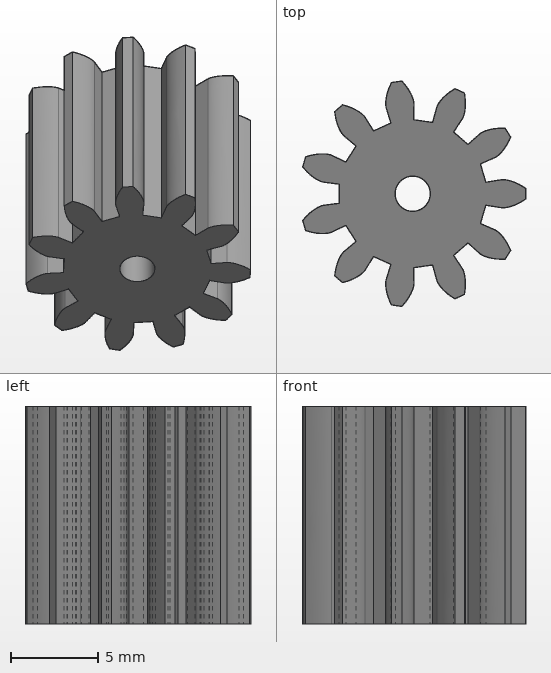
import cadquery as cq
import math

width_across_teeth = 12.94
face_width = 12.5
bore_diameter = 2.0
tooth_count = 11
pressure_angle = math.radians(20)
addendum_factor = 1.0
dedendum_factor = 1.25
flank_steps = 16


def involute(angle):
    """Involute function: polar angle swept at the given pressure angle."""
    return math.tan(angle) - angle


tooth_pitch = 2 * math.pi / tooth_count
pitch_half_angle = tooth_pitch / 4
base_half_angle = pitch_half_angle + involute(pressure_angle)
tip_pressure_angle = math.acos(
    tooth_count * math.cos(pressure_angle) / (tooth_count + 2 * addendum_factor)
)
tip_half_angle = base_half_angle - involute(tip_pressure_angle)

nearest_tooth_lean = tooth_pitch / 4
tip_corner_lean = nearest_tooth_lean - tip_half_angle
tip_radius = width_across_teeth / 2 / math.cos(tip_corner_lean)
module = 2 * tip_radius / (tooth_count + 2 * addendum_factor)
pitch_radius = module * tooth_count / 2
base_radius = pitch_radius * math.cos(pressure_angle)
root_radius = pitch_radius - dedendum_factor * module


def polar(radius, angle):
    return (radius * math.cos(angle), radius * math.sin(angle))


def flank_points(centre_angle, side):
    """Involute points from base circle to tip; side is -1 or +1 of the tooth centre line."""
    points = []
    for step in range(flank_steps + 1):
        roll = math.tan(tip_pressure_angle) * step / flank_steps
        radius = base_radius * math.hypot(1, roll)
        half_angle = base_half_angle - involute(math.atan(roll))
        points.append(polar(radius, centre_angle + side * half_angle))
    return points


def add_tooth(outline, centre_angle):
    """Extend the outline over one tooth from root to root."""
    rising = flank_points(centre_angle, -1)
    falling = flank_points(centre_angle, 1)[::-1]
    outline = outline.lineTo(*rising[0])
    outline = outline.spline(rising[1:], includeCurrent=True)
    outline = outline.lineTo(*falling[0])
    outline = outline.spline(falling[1:], includeCurrent=True)
    return outline.lineTo(*polar(root_radius, centre_angle + base_half_angle))


outline = cq.Workplane("XY").moveTo(*polar(root_radius, -base_half_angle))
for tooth in range(tooth_count):
    tooth_angle = tooth * tooth_pitch
    if tooth > 0:
        outline = outline.lineTo(*polar(root_radius, tooth_angle - base_half_angle))
    outline = add_tooth(outline, tooth_angle)
gear = outline.close().extrude(face_width)

bore = cq.Workplane("XY").circle(bore_diameter / 2).extrude(face_width)
result = gear.cut(bore)